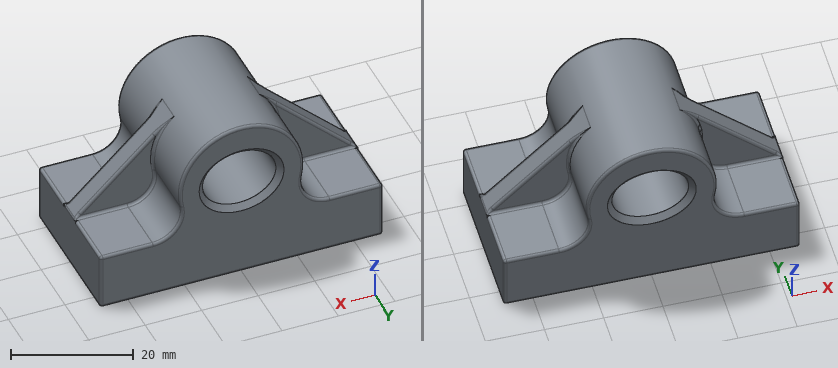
import cadquery as cq
import math

base_length = 50.0
base_width = 26.0
base_height = 10.4
edge_radius = 0.5

total_height = 29.83
boss_radius = 11.0
boss_height = total_height - boss_radius
blend_radius = 5.0

bore_half_length = 6.5
bore_half_height = 5.25
bore_chamfer = 1.0

web_thickness = 4.0
foot_radius = 0.5
ridge_radius = 0.5

tolerance = 0.01

half_length = base_length / 2

blend_center_z = base_height + blend_radius
blend_center_x = math.sqrt((boss_radius + blend_radius) ** 2 - (boss_height - blend_center_z) ** 2)
joint_ratio = boss_radius / (boss_radius + blend_radius)
joint_x = blend_center_x * joint_ratio
joint_z = boss_height + (blend_center_z - boss_height) * joint_ratio
joint_angle = math.atan2(boss_height - blend_center_z, -blend_center_x) % (2 * math.pi)
blend_mid_angle = (joint_angle + 1.5 * math.pi) / 2
blend_mid_x = blend_center_x + blend_radius * math.cos(blend_mid_angle)
blend_mid_z = blend_center_z + blend_radius * math.sin(blend_mid_angle)

corner_rise = boss_height - base_height
ridge_angle = math.atan2(corner_rise, half_length) + math.asin(
    boss_radius / math.hypot(half_length, corner_rise)
)
ridge_x = boss_radius * math.sin(ridge_angle)
ridge_z = boss_height + boss_radius * math.cos(ridge_angle)

foot_width = web_thickness + 2 * foot_radius
web_bottom = base_height / 2
wall_height = 1.5 * total_height


def make_plain_body():
    """Base and boss as one profile extruded along Y, with sharp edges."""
    return (
        cq.Workplane("XZ")
        .moveTo(-half_length, 0)
        .lineTo(half_length, 0)
        .lineTo(half_length, base_height)
        .lineTo(blend_center_x, base_height)
        .threePointArc((blend_mid_x, blend_mid_z), (joint_x, joint_z))
        .threePointArc((0, total_height), (-joint_x, joint_z))
        .threePointArc((-blend_mid_x, blend_mid_z), (-blend_center_x, base_height))
        .lineTo(-half_length, base_height)
        .close()
        .extrude(base_width / 2, both=True)
    )


def round_outer_edges(body):
    """Round every edge of the front, rear and end faces."""
    return body.faces("<Y or >Y or <X or >X").edges().fillet(edge_radius)


def is_foot_edge(edge):
    """True for the concave edges where a web side meets the base, blend or boss."""
    center = edge.Center()
    on_web_side = abs(abs(center.y) - web_thickness / 2) < tolerance
    between_ends = abs(center.x) < half_length - tolerance
    below_crown = base_height - tolerance < center.z < total_height
    return on_web_side and between_ends and below_crown


def is_ridge_edge(edge):
    """True for the long sloping edges along the top of a web."""
    center = edge.Center()
    on_web_side = abs(abs(center.y) - web_thickness / 2) < tolerance
    start = edge.startPoint()
    finish = edge.endPoint()
    slopes = min(abs(start.x - finish.x), abs(start.z - finish.z)) > web_thickness
    return edge.geomType() == "LINE" and on_web_side and slopes


def is_tip_edge(edge):
    """True for the short edge where a ridge plane meets an end face of the base."""
    center = edge.Center()
    at_end = abs(abs(center.x) - half_length) < tolerance
    at_top = abs(center.z - base_height) < tolerance
    return at_end and at_top


def make_webs():
    """Both webs with their flared feet, joined by a core that stays inside the body."""
    wall = cq.Workplane("XY").box(base_length, web_thickness, wall_height, centered=(True, True, False))
    footed = make_plain_body().union(wall)
    foot_edges = [edge for edge in footed.edges().vals() if is_foot_edge(edge)]
    footed = footed.newObject(foot_edges).fillet(foot_radius)

    ridge_prism = (
        cq.Workplane("XZ")
        .moveTo(-half_length, web_bottom)
        .lineTo(half_length, web_bottom)
        .lineTo(half_length, base_height)
        .lineTo(ridge_x, ridge_z)
        .lineTo(-ridge_x, ridge_z)
        .lineTo(-half_length, base_height)
        .close()
        .extrude(foot_width / 2, both=True)
    )
    webs = footed.intersect(ridge_prism)
    top_edges = [edge for edge in webs.edges().vals() if is_ridge_edge(edge) or is_tip_edge(edge)]
    return webs.newObject(top_edges).fillet(ridge_radius)


def cut_bore(body):
    """Cut the elliptical through bore, chamfered equally at both mouths."""
    bore = (
        cq.Workplane("XZ", origin=(0, 0, boss_height))
        .ellipse(bore_half_length, bore_half_height)
        .extrude(base_width / 2, both=True)
    )
    return body.cut(bore).faces("<Y or >Y").edges("%ELLIPSE").chamfer(bore_chamfer)


body = round_outer_edges(make_plain_body())
webs = make_webs()
result = cut_bore(body.union(webs))